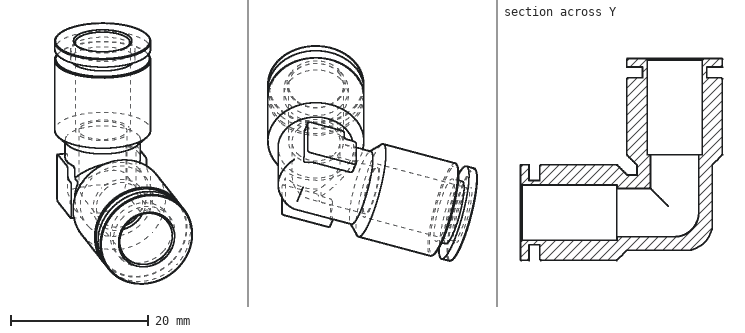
import cadquery as cq
import math

OVERALL = 29.5
BODY_R = 14.0 / 2
NECK_R = 11.0 / 2
SLEEVE_R = 9.4 / 2
TUBE_R = 8.0 / 2
FLOW_R = 7.0 / 2

FLANGE_THICKNESS = 1.3
SLEEVE_GAP = 1.53

ARM_END = OVERALL - BODY_R
FLANGE_BASE = ARM_END - FLANGE_THICKNESS
BODY_END = FLANGE_BASE - SLEEVE_GAP
CONE_END = 8.45
CONE_START = CONE_END - (BODY_R - NECK_R)
TUBE_STOP = CONE_END

FLANGE_CHAMFER = 0.12
BODY_CHAMFER = 0.18
ENTRY_CHAMFER = 0.27

BEND_OFFSET = 1.42
BEND_TILT = math.radians(13.4)

PAD_HALF_WIDTH = 6.0
PAD_MIN = -3.25
PAD_MAX = 4.22
PAD_NOTCH = 2.4
PAD_FILLET = 0.47


def on_both_arms(shape):
    """Join a Z-arm shape with its mirror image across the plane X = Z."""
    x_arm = shape.mirror("XY").rotate((0, 0, 0), (0, 1, 0), -90)
    return shape.union(x_arm)


def arm_shell():
    outline = [
        (0, CONE_START),
        (NECK_R, CONE_START),
        (BODY_R, CONE_END),
        (BODY_R, BODY_END - BODY_CHAMFER),
        (BODY_R - BODY_CHAMFER, BODY_END),
        (SLEEVE_R, BODY_END),
        (SLEEVE_R, FLANGE_BASE),
        (BODY_R, FLANGE_BASE),
        (BODY_R, ARM_END - FLANGE_CHAMFER),
        (BODY_R - FLANGE_CHAMFER, ARM_END),
        (0, ARM_END),
    ]
    return cq.Workplane("XZ").polyline(outline).close().revolve(360, (0, 0), (0, 1))


def arm_bore():
    outline = [
        (0, 0),
        (FLOW_R, 0),
        (FLOW_R, TUBE_STOP),
        (TUBE_R, TUBE_STOP),
        (TUBE_R, ARM_END - ENTRY_CHAMFER),
        (TUBE_R + ENTRY_CHAMFER, ARM_END),
        (0, ARM_END),
    ]
    return cq.Workplane("XZ").polyline(outline).close().revolve(360, (0, 0), (0, 1))


def bend():
    """Outer corner of the elbow, between the two tilted end sections."""
    shift = BEND_OFFSET / math.cos(BEND_TILT)
    semi_axis = NECK_R / math.cos(BEND_TILT)
    outer_side = cq.Workplane("XY").center(-semi_axis / 2, 0).rect(semi_axis, 2 * NECK_R)
    slab = (
        cq.Workplane("XY")
        .center(shift, 0)
        .ellipse(semi_axis, NECK_R)
        .extrude(0.3)
        .intersect(outer_side.extrude(0.3))
    )
    sweep_angle = 90 - 2 * math.degrees(BEND_TILT)
    return (
        cq.Workplane("XY")
        .add(slab.faces("<Z").wires())
        .toPending()
        .revolve(sweep_angle, (0, 0), (0, -1))
        .rotate((0, 0, 0), (0, -1, 0), math.degrees(BEND_TILT))
        .translate((-BEND_OFFSET, 0, -BEND_OFFSET))
    )


def neck_leg():
    """Z neck, cut off below by the tilted end plane of the bend."""
    drop = NECK_R - BEND_OFFSET
    rise = NECK_R + BEND_OFFSET
    slope = math.tan(BEND_TILT)
    region = [
        (-NECK_R, -BEND_OFFSET - drop * slope),
        (NECK_R, -BEND_OFFSET + rise * slope),
        (NECK_R, CONE_START),
        (-NECK_R, CONE_START),
    ]
    limits = cq.Workplane("XZ").polyline(region).close().extrude(NECK_R, both=True)
    length = CONE_START + NECK_R
    cylinder = cq.Workplane("XY").workplane(offset=-NECK_R).circle(NECK_R).extrude(length)
    return cylinder.intersect(limits)


def pads():
    outline = [
        (PAD_MIN, PAD_MIN),
        (PAD_MAX, PAD_MIN),
        (PAD_MAX, PAD_NOTCH),
        (PAD_NOTCH, PAD_NOTCH),
        (PAD_NOTCH, PAD_MAX),
        (PAD_MIN, PAD_MAX),
    ]
    block = cq.Workplane("XZ").polyline(outline).close().extrude(PAD_HALF_WIDTH, both=True)
    return block.edges("|Y").fillet(PAD_FILLET)


elbow = on_both_arms(neck_leg()).union(bend()).union(pads())
outside = elbow.union(on_both_arms(arm_shell()))
bore_corner = cq.Workplane("XY").sphere(FLOW_R)
bores = on_both_arms(arm_bore()).union(bore_corner)
result = outside.cut(bores)